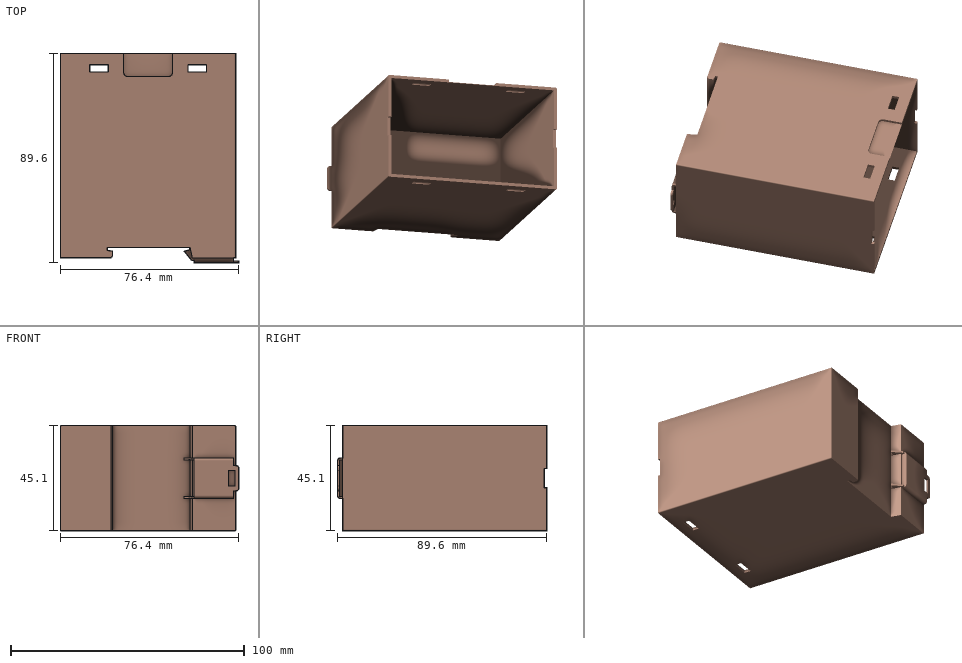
import cadquery as cq

BODY_LENGTH = 75.0
BODY_DEPTH = 87.4
BODY_WIDTH = 45.1
MID_X = BODY_LENGTH / 2
MID_Z = BODY_WIDTH / 2
EDGE_RADIUS = 0.5
WALL = 1.3

CHANNEL_HEIGHT = 4.4
CHANNEL_START_X = 20.1
CHANNEL_END_X = 55.5
FOOT_END_X = 22.3
FOOT_ROOT_Y = 3.2
FOOT_TIP_Y = 2.9
FOOT_CHAMFER = 0.75
SLOPE_FOOT_X = 56.4

CAVITY_FLOOR_Y = CHANNEL_HEIGHT + WALL

SLOT_LENGTH = 7.8
SLOT_HEIGHT = 3.0
SLOT_EDGE_DISTANCE = 4.9
SLOT_OFFSET = 21.0
RECESS_LENGTH = 20.9
RECESS_REACH = 9.9
RECESS_DEPTH = 1.1
RECESS_RADIUS = 1.8
NOTCH_WIDTH = 8.1
NOTCH_DEPTH = 1.1

LATCH_DROP = 2.2
LATCH_WIDTH = 17.4
LATCH_START_X = 57.2
LATCH_END_X = 74.1
LATCH_RADIUS = 1.3
LATCH_WALL = 0.85
HOOK_TIP = (52.9, 2.8)
HOOK_SHOULDER = (55.1, 3.4)
HOOK_HEEL = (56.2, -1.2)
HANDLE_END_X = 76.38
HANDLE_WIDTH = 10.9
HANDLE_RADIUS = 1.3
HANDLE_SLOT_START_X = 71.9
HANDLE_SLOT_END_X = 74.7
HANDLE_SLOT_WIDTH = 6.8


def box(x_range, y_range, z_range):
    """Box given by its lower and upper limit along each axis."""
    low, high = zip(x_range, y_range, z_range)
    size = [b - a for a, b in zip(low, high)]
    return cq.Workplane("XY").box(*size, centered=False).translate(low)


def about_middle(width):
    """Z limits of a feature centred across the housing width."""
    return (MID_Z - width / 2, MID_Z + width / 2)


def housing():
    """Solid block with rounded long edges and the rail channel."""
    block = box((0, BODY_LENGTH), (0, BODY_DEPTH), (0, BODY_WIDTH))
    block = block.edges("|Y").fillet(EDGE_RADIUS)
    channel = (
        cq.Workplane("XY")
        .moveTo(FOOT_END_X - FOOT_CHAMFER, 0)
        .lineTo(FOOT_END_X, FOOT_CHAMFER)
        .lineTo(FOOT_END_X, FOOT_TIP_Y)
        .lineTo(CHANNEL_START_X, FOOT_ROOT_Y)
        .lineTo(CHANNEL_START_X, CHANNEL_HEIGHT)
        .lineTo(CHANNEL_END_X, CHANNEL_HEIGHT)
        .lineTo(SLOPE_FOOT_X, 0)
        .close()
        .extrude(BODY_WIDTH)
    )
    return block.cut(channel)


def cavity():
    """Interior of the housing, open toward +Y."""
    return box(
        (WALL, BODY_LENGTH - WALL),
        (CAVITY_FLOOR_Y, BODY_DEPTH),
        (WALL, BODY_WIDTH - WALL),
    )


def cover_slots():
    """Two rectangular slots that pass through both large walls."""
    slot_y = BODY_DEPTH - SLOT_EDGE_DISTANCE - SLOT_HEIGHT / 2
    return (
        cq.Workplane("XY")
        .pushPoints([(MID_X - SLOT_OFFSET, slot_y), (MID_X + SLOT_OFFSET, slot_y)])
        .rect(SLOT_LENGTH, SLOT_HEIGHT)
        .extrude(BODY_WIDTH)
    )


def grip_recess():
    """Shallow recess in the +Z wall, open at the +Y edge."""
    recess = box(
        (MID_X - RECESS_LENGTH / 2, MID_X + RECESS_LENGTH / 2),
        (BODY_DEPTH - RECESS_REACH, BODY_DEPTH),
        (BODY_WIDTH - RECESS_DEPTH, BODY_WIDTH),
    )
    return recess.edges("|Z and <Y").fillet(RECESS_RADIUS)


def end_notches():
    """Notch in the open rim of both end walls."""
    return box(
        (0, BODY_LENGTH),
        (BODY_DEPTH - NOTCH_DEPTH, BODY_DEPTH),
        about_middle(NOTCH_WIDTH),
    )


def latch_cover():
    """Inverted tray under the housing, open at its +X end."""
    shell = box((LATCH_START_X, LATCH_END_X), (-LATCH_DROP, 0), about_middle(LATCH_WIDTH))
    shell = shell.edges("|X and <Y").fillet(LATCH_RADIUS)
    hollow = box(
        (LATCH_START_X + LATCH_WALL, LATCH_END_X),
        (LATCH_WALL - LATCH_DROP, 0),
        about_middle(LATCH_WIDTH - 2 * LATCH_WALL),
    )
    return shell.cut(hollow)


def latch_handle():
    """Flat tongue that continues the latch face beyond the housing."""
    tongue = box(
        (LATCH_START_X, HANDLE_END_X),
        (-LATCH_DROP, LATCH_WALL - LATCH_DROP),
        about_middle(HANDLE_WIDTH),
    )
    return tongue.edges("|Y and >X").fillet(HANDLE_RADIUS)


def handle_slot():
    """Tool slot through the latch face."""
    return box(
        (HANDLE_SLOT_START_X, HANDLE_SLOT_END_X),
        (-LATCH_DROP, LATCH_WALL - LATCH_DROP),
        about_middle(HANDLE_SLOT_WIDTH),
    )


def hook(z_start):
    """Thin fin whose tip reaches into the rail channel."""
    return (
        cq.Workplane("XY", origin=(0, 0, z_start))
        .moveTo(*HOOK_TIP)
        .lineTo(*HOOK_SHOULDER)
        .lineTo(CHANNEL_END_X, CHANNEL_HEIGHT)
        .lineTo(SLOPE_FOOT_X, 0)
        .lineTo(LATCH_START_X, 0)
        .lineTo(LATCH_START_X, HOOK_HEEL[1])
        .lineTo(*HOOK_HEEL)
        .close()
        .extrude(LATCH_WALL)
    )


body = housing().cut(cavity()).cut(cover_slots()).cut(grip_recess()).cut(end_notches())
latch = latch_cover().union(latch_handle()).cut(handle_slot())
latch_low_z, latch_high_z = about_middle(LATCH_WIDTH)
for fin_z in (latch_low_z, latch_high_z - LATCH_WALL):
    latch = latch.union(hook(fin_z))

result = body.union(latch)